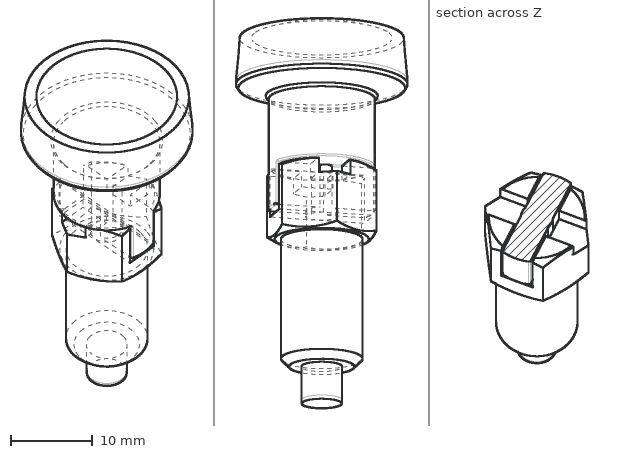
import cadquery as cq
import math

shank_bottom = 5.0
collar_bottom = 21.05
deep_slot_floor = 23.95
leg_bottom = 24.6
notch_floor = 28.0
collar_top = 29.9
sleeve_bottom = 30.0
sleeve_top = 38.7
knob_underside = 39.1
knob_edge_bottom = 40.08
knob_band_bottom = 40.55
knob_band_top = 41.05
knob_rim = 46.4
total_height = 48.0

pin_radius = 2.5
pin_land = 0.8
pin_edge_radius = 2.45
pin_crown_height = 0.35
shank_radius = 5.0
shank_chamfer = 1.0

across_flats = 12.0
across_corners = across_flats / math.cos(math.pi / 6)
collar_bottom_face_radius = 5.75
collar_top_face_radius = 5.85
collar_chamfer_angle = math.radians(30)
collar_turn = 30
notch_width = 4.0
deep_slot_width = 4.2

rod_radius = 2.0
sleeve_radius = 6.5
leg_width = 3.7
leg_root_fillet = 0.2
sleeve_edge_fillet = 0.2
underside_radius = 6.85
knob_radius = 10.5
knob_edge_radius = 10.2
rim_radius = 10.05
dome_radius = 8.6
wall_bulge = 0.03


def cylinder(radius, bottom, top):
    return cq.Workplane("XY").workplane(offset=bottom).circle(radius).extrude(top - bottom)


def make_pin_and_shank():
    """Crowned plunger pin below a cylindrical shank with a chamfered end."""
    crown_mid = (pin_edge_radius / 2, pin_crown_height / 4)
    profile = (
        cq.Workplane("XZ")
        .moveTo(0, 0)
        .threePointArc(crown_mid, (pin_edge_radius, pin_crown_height))
        .lineTo(pin_radius, pin_land)
        .lineTo(pin_radius, shank_bottom)
        .lineTo(shank_radius - shank_chamfer, shank_bottom)
        .lineTo(shank_radius, shank_bottom + shank_chamfer)
        .lineTo(shank_radius, collar_bottom)
        .lineTo(0, collar_bottom)
        .close()
    )
    return profile.revolve(360, (0, 0, 0), (0, 1, 0))


def channel(width, floor, along):
    """Cutter for an open channel across the collar, running along X or Y."""
    size_x, size_y = (across_corners, width) if along == "X" else (width, across_corners)
    depth = sleeve_bottom - floor
    return cq.Workplane("XY").workplane(offset=floor).rect(size_x, size_y).extrude(depth)


def make_collar():
    """Hexagon with conically chamfered corners and two crossing channels."""
    hexagon = (
        cq.Workplane("XY")
        .workplane(offset=collar_bottom)
        .polygon(6, across_corners)
        .extrude(collar_top - collar_bottom)
        .rotate((0, 0, 0), (0, 0, 1), collar_turn)
    )
    corner_radius = across_corners / 2
    slope = math.tan(collar_chamfer_angle)
    bottom_drop = (corner_radius - collar_bottom_face_radius) * slope
    top_drop = (corner_radius - collar_top_face_radius) * slope
    envelope = (
        cq.Workplane("XZ")
        .moveTo(0, collar_bottom)
        .lineTo(collar_bottom_face_radius, collar_bottom)
        .lineTo(corner_radius, collar_bottom + bottom_drop)
        .lineTo(corner_radius, collar_top - top_drop)
        .lineTo(collar_top_face_radius, collar_top)
        .lineTo(0, collar_top)
        .close()
        .revolve(360, (0, 0, 0), (0, 1, 0))
    )
    collar = hexagon.intersect(envelope)
    collar = collar.cut(channel(deep_slot_width, deep_slot_floor, "X"))
    return collar.cut(channel(notch_width, notch_floor, "Y"))


def make_sleeve():
    """Cylindrical sleeve whose lower end narrows to two legs lying along X."""
    sleeve = cylinder(sleeve_radius, leg_bottom, sleeve_top)
    waste_length = 2 * sleeve_radius
    waste_width = sleeve_radius
    waste = (
        cq.Workplane("XY")
        .workplane(offset=leg_bottom)
        .center(0, leg_width / 2 + waste_width / 2)
        .rect(waste_length, waste_width)
        .extrude(sleeve_bottom - leg_bottom)
        .edges("|X and >Z and <Y")
        .fillet(leg_root_fillet)
    )
    sleeve = sleeve.cut(waste).cut(waste.mirror("XZ"))
    margin = 1.0
    reach = sleeve_radius + margin
    lower_end = cq.selectors.BoxSelector(
        (-reach, -reach, leg_bottom - margin),
        (reach, reach, sleeve_bottom + margin),
    )
    outer_edges = sleeve.faces("%CYLINDER").faces(cq.selectors.AreaNthSelector(-1))
    return outer_edges.edges(lower_end).fillet(sleeve_edge_fillet)


def make_knob():
    """Button with a slightly barrelled wall and a domed top."""
    wall_mid = (
        (knob_radius + rim_radius) / 2 + wall_bulge,
        (knob_band_top + knob_rim) / 2,
    )
    dome_rise = total_height - knob_rim
    dome_sphere_radius = (dome_radius**2 + dome_rise**2) / (2 * dome_rise)
    half_angle = math.asin(dome_radius / dome_sphere_radius) / 2
    dome_mid = (
        dome_sphere_radius * math.sin(half_angle),
        total_height - dome_sphere_radius * (1 - math.cos(half_angle)),
    )
    profile = (
        cq.Workplane("XZ")
        .moveTo(0, sleeve_top)
        .lineTo(sleeve_radius, sleeve_top)
        .lineTo(underside_radius, knob_underside)
        .lineTo(knob_edge_radius, knob_edge_bottom)
        .lineTo(knob_radius, knob_band_bottom)
        .lineTo(knob_radius, knob_band_top)
        .threePointArc(wall_mid, (rim_radius, knob_rim))
        .lineTo(dome_radius, knob_rim)
        .threePointArc(dome_mid, (0, total_height))
        .close()
    )
    return profile.revolve(360, (0, 0, 0), (0, 1, 0))


rod = cylinder(rod_radius, collar_bottom, sleeve_bottom)
result = (
    make_pin_and_shank()
    .union(make_collar())
    .union(rod)
    .union(make_sleeve())
    .union(make_knob())
)